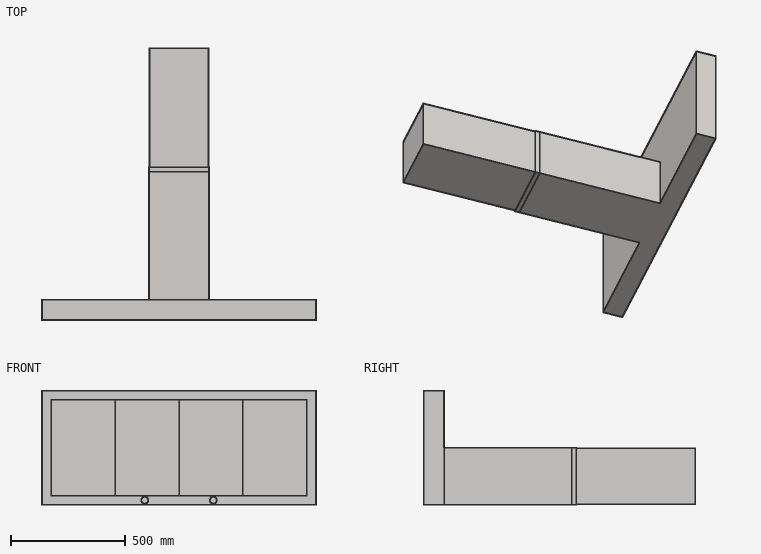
import cadquery as cq

hood_width = 1200.0
hood_depth = 90.0
hood_height = 500.0

filter_count = 4
filter_border = 41.0
filter_thickness = 10.0
filter_row_width = hood_width - 2 * filter_border
filter_width = filter_row_width / filter_count
filter_height = hood_height - 2 * filter_border

lamp_diameter = 30.0
lamp_thickness = 10.0
lamp_spacing = 300.0
lamp_positions = [-lamp_spacing / 2, lamp_spacing / 2]
lamp_z = filter_border / 2

overall_depth = 1190.0
sleeve_width = 264.0
sleeve_height = 251.0
sleeve_length = 559.0
collar_length = 20.0
collar_y = hood_depth + sleeve_length
duct_y = collar_y + collar_length
duct_inset = 2.0
duct_length = overall_depth - duct_y


def box_from_front(width, depth, height, center_x, front_y, bottom_z):
    """Box centred on center_x that starts at front_y and bottom_z."""
    return (
        cq.Workplane("XY")
        .box(width, depth, height, centered=(True, False, False))
        .translate((center_x, front_y, bottom_z))
    )


def make_filter(index):
    center_x = (index - (filter_count - 1) / 2) * filter_width
    return box_from_front(filter_width, filter_thickness, filter_height, center_x, 0, filter_border)


def make_lamp(center_x):
    return (
        cq.Workplane("XZ")
        .center(center_x, lamp_z)
        .circle(lamp_diameter / 2)
        .extrude(-lamp_thickness)
    )


def make_chimney_section(inset, front_y, length):
    """Length of chimney whose four walls lie inside the sleeve walls by inset."""
    return box_from_front(
        sleeve_width - 2 * inset, length, sleeve_height - 2 * inset, 0, front_y, inset
    )


def make_hood():
    """Hood box and its sleeve, with one recess for the filter row and one for each lamp."""
    hood = box_from_front(hood_width, hood_depth, hood_height, 0, 0, 0)
    hood = hood.union(make_chimney_section(0, hood_depth, sleeve_length))
    hood = hood.cut(box_from_front(filter_row_width, filter_thickness, filter_height, 0, 0, filter_border))
    for center_x in lamp_positions:
        hood = hood.cut(make_lamp(center_x))
    return hood


def make_upper_duct():
    """Upper duct with the collar that rests on the end of the sleeve."""
    collar = make_chimney_section(0, collar_y, collar_length)
    duct = make_chimney_section(duct_inset, duct_y, duct_length)
    return collar.union(duct)


hood = make_hood()
filters = [make_filter(index) for index in range(filter_count)]
lamps = [make_lamp(center_x) for center_x in lamp_positions]
upper_duct = make_upper_duct()

result = cq.Compound.makeCompound(
    [
        hood.val(),
        *[panel.val() for panel in filters],
        *[lamp.val() for lamp in lamps],
        upper_duct.val(),
    ]
)